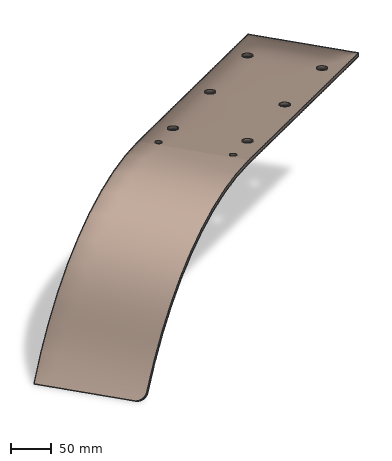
import cadquery as cq
import math

width = 148.0
length = 688.0
thickness = 5.0
flat_length = 354.0
bend_radius = 389.5
corner_radius = 14.0

edge_to_hole = 24.0
end_to_first_hole = 60.0
hole_pitch = 120.0
hole_rows = 3
hole_diameter = 14.0
small_hole_diameter = 9.0
bend_to_small_hole = 8.0

bend_start = length - flat_length
bend_angle = math.asin(bend_start / bend_radius)


def arc_point(radius, angle):
    """Point (y, z) on an arc about the bend axis, angle measured from the flat."""
    return (bend_start - radius * math.sin(angle), radius * math.cos(angle) - bend_radius)


def curved_strip():
    """Constant-thickness strip, flat and then bent along one arc."""
    inner_radius = bend_radius - thickness
    return (
        cq.Workplane("YZ")
        .moveTo(length, 0)
        .lineTo(bend_start, 0)
        .threePointArc(arc_point(bend_radius, bend_angle / 2), arc_point(bend_radius, bend_angle))
        .lineTo(*arc_point(inner_radius, bend_angle))
        .threePointArc(arc_point(inner_radius, bend_angle / 2), arc_point(inner_radius, 0))
        .lineTo(length, -thickness)
        .close()
        .extrude(width)
    )


def round_tip_corner(strip):
    """Round the corner of the curved tip on the +X side."""
    tip_edge = cq.selectors.NearestToPointSelector(
        (width, *arc_point(bend_radius - thickness / 2, bend_angle))
    )
    return strip.edges(tip_edge).fillet(corner_radius)


def drill(strip, rows, diameter):
    """Drill a pair of through holes at each Y position in rows."""
    columns = (edge_to_hole, width - edge_to_hole)
    centers = [(x, y) for x in columns for y in rows]
    holes = (
        cq.Workplane("XY")
        .pushPoints(centers)
        .circle(diameter / 2)
        .extrude(-thickness)
    )
    return strip.cut(holes)


large_rows = [length - end_to_first_hole - i * hole_pitch for i in range(hole_rows)]
small_rows = [bend_start + bend_to_small_hole]

result = round_tip_corner(curved_strip())
result = drill(result, large_rows, hole_diameter)
result = drill(result, small_rows, small_hole_diameter)